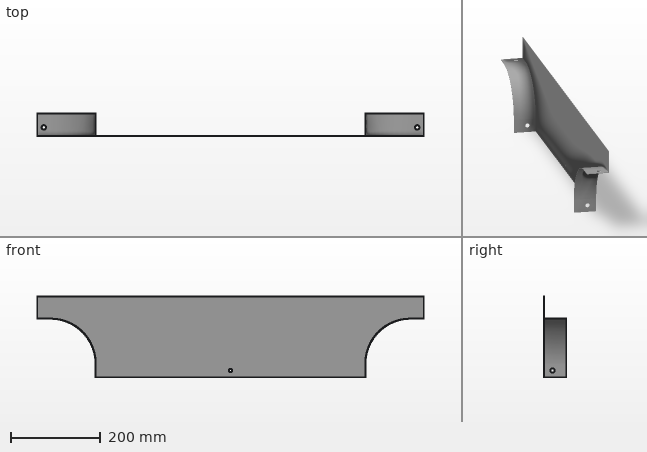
import cadquery as cq

length = 860.0
height = 180.0
depth = 51.0
sheet = 1.0
arm_height = 50.0
cutout_radius = 100.0
tab_length = 30.0
panel_hole_diameter = 7.0
flange_hole_diameter = 9.5
hole_edge_distance = tab_length / 2
hole_setback = 20.0

half_length = length / 2
arm_underside = height - arm_height
half_base = half_length - tab_length - cutout_radius
curve_bottom = arm_underside - cutout_radius
diagonal = cutout_radius * 0.5 ** 0.5


def cutout_edge(side, offset):
    """Open path along one cut-out, shifted into the sheet by offset; side is -1 or 1."""
    radius_growth = 1 + offset / cutout_radius
    center_x = half_base + cutout_radius
    wall_x = half_base - offset
    middle = (
        side * (center_x - diagonal * radius_growth),
        curve_bottom + diagonal * radius_growth,
    )
    return [
        (side * half_length, arm_underside + offset),
        (side * center_x, arm_underside + offset),
        middle,
        (side * wall_x, curve_bottom),
        (side * wall_x, 0),
    ]


def make_panel():
    left = cutout_edge(-1, 0)
    right = cutout_edge(1, 0)
    outline = (
        cq.Workplane("XZ")
        .moveTo(-half_length, height)
        .lineTo(*left[0])
        .lineTo(*left[1])
        .threePointArc(left[2], left[3])
        .lineTo(*left[4])
        .lineTo(*right[4])
        .lineTo(*right[3])
        .threePointArc(right[2], right[1])
        .lineTo(*right[0])
        .lineTo(half_length, height)
        .close()
    )
    return outline.extrude(-sheet)


def make_flange(side):
    """Curved strip running back from the panel along one cut-out."""
    outer = cutout_edge(side, 0)
    inner = cutout_edge(side, sheet)
    outline = (
        cq.Workplane("XZ")
        .moveTo(*outer[0])
        .lineTo(*outer[1])
        .threePointArc(outer[2], outer[3])
        .lineTo(*outer[4])
        .lineTo(*inner[4])
        .lineTo(*inner[3])
        .threePointArc(inner[2], inner[1])
        .lineTo(*inner[0])
        .close()
    )
    return outline.extrude(-depth)


def drill(center, direction, diameter):
    """Cutter that starts one diameter before the sheet and ends one diameter past it."""
    axis = cq.Vector(*direction)
    start = cq.Vector(*center) - axis * diameter
    cutter = cq.Solid.makeCylinder(diameter / 2, 2 * diameter, start, axis)
    return cq.Workplane(cutter)


result = make_panel()
for side in (-1, 1):
    result = result.union(make_flange(side))

result = result.cut(drill((0, 0, hole_edge_distance), (0, 1, 0), panel_hole_diameter))
for side in (-1, 1):
    arm_hole = (side * (half_length - hole_edge_distance), hole_setback, arm_underside)
    base_hole = (side * half_base, hole_setback, hole_edge_distance)
    result = result.cut(drill(arm_hole, (0, 0, 1), flange_hole_diameter))
    result = result.cut(drill(base_hole, (1, 0, 0), flange_hole_diameter))